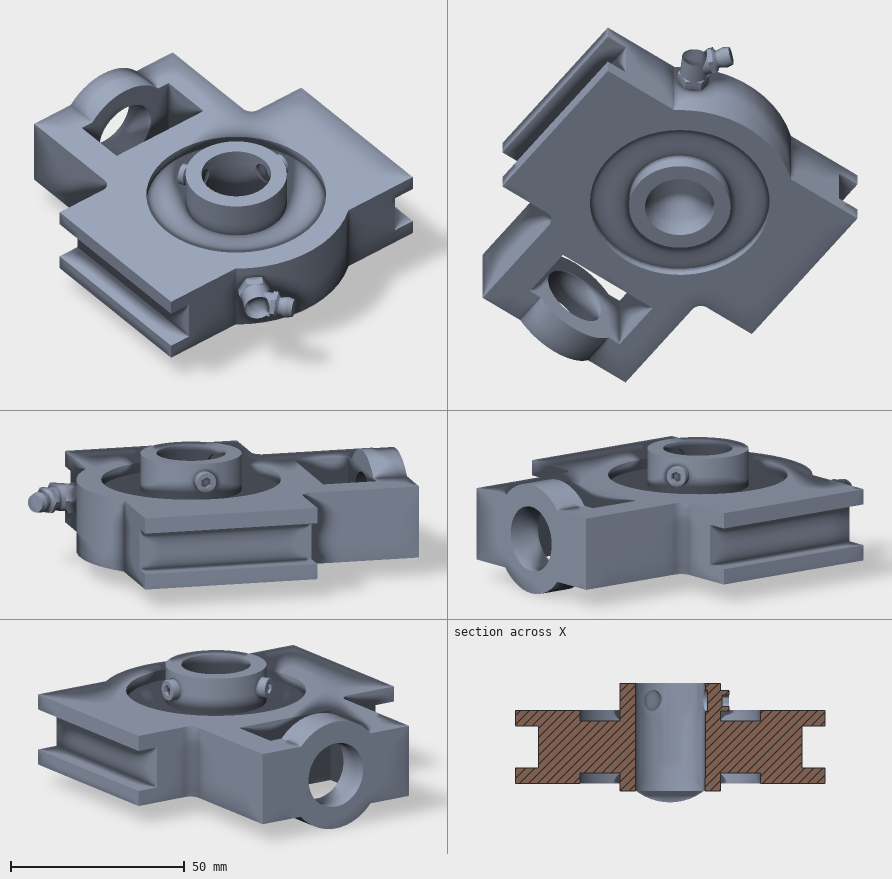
import cadquery as cq
import math


HEIGHT = 21.0
HALF_HEIGHT = HEIGHT / 2
NOSE_RADIUS = 33.0
WING_LENGTH = 51.2
WING_SPAN = 89.0
NECK_WIDTH = 51.0
NECK_END_X = -61.0
NECK_FILLET = 3.0
GUIDE_WIDTH = 12.0
GUIDE_DEPTH = 6.5

BOSS_DIAMETER = 32.0
BOSS_LENGTH = 10.0
BOSS_HOLE = 19.0
WINDOW_LENGTH = 16.0
WINDOW_WIDTH = 32.0

SEAT_DIAMETER = 51.7
INSERT_WIDTH = 15.0
SEAT_DEPTH = (HEIGHT - INSERT_WIDTH) / 2
RING_DIAMETER = 29.1
RING_TOP = 18.3
RING_BOTTOM = -12.7
BORE = 20.0

SCREW_DIAMETER = 6.0
SCREW_DROP = 5.0
SCREW_Z = RING_TOP - SCREW_DROP
SCREW_TIP_RADIUS = 10.6
SCREW_HEAD_RADIUS = 17.0
SCREW_CHAMFER = 0.15
SOCKET_FLATS = 2.8
SOCKET_DEPTH = 2.0
SOCKET_TURN = 30.0
SCREW_ANGLES = (90.0, 210.0)

NIPPLE_Z = 3.0
STEM_ANGLE = -30.0
STEM_DIAMETER = 8.0
SHANK_DIAMETER = 6.0
SHANK_START = 31.0
STEM_HEX_START = 33.0
STEM_HEX_END = 36.3
STEM_END = 42.0
BRANCH_TURN = 67.5
BRANCH_POSITION = 39.6
BRANCH_DIAMETER = 7.0
COLLAR_START = 4.55
COLLAR_END = 5.95
NECK_POSITION = 6.7
NECK_DIAMETER = 5.0
RIDGE_DIAMETER = 6.0
RIDGE_POSITION = 8.9
TIP_DIAMETER = 5.2
TIP_POSITION = 10.8

HEX_CHAMFER_ANGLE = 30.0


def rod(diameter, start, end):
    """Cylinder along +X between two X positions."""
    return cq.Workplane("YZ", origin=(start, 0, 0)).circle(diameter / 2).extrude(end - start)


def hexagon_corners(flats):
    """Width of a hexagon across its corners."""
    return flats / math.cos(math.pi / 6)


def hexagon(flats, start, end):
    """Hexagonal bar along +X with two flats facing up and down."""
    return cq.Workplane("YZ", origin=(start, 0, 0)).polygon(6, hexagon_corners(flats)).extrude(end - start)


def chamfered_hexagon(flats, start, end):
    """Hexagonal bar along +X whose corners are turned at both ends down to the flats."""
    reach = hexagon_corners(flats) / 2
    setback = (reach - flats / 2) * math.tan(math.radians(HEX_CHAMFER_ANGLE))
    envelope = (
        cq.Workplane("XY")
        .moveTo(start, 0)
        .lineTo(start, flats / 2)
        .lineTo(start + setback, reach)
        .lineTo(end - setback, reach)
        .lineTo(end, flats / 2)
        .lineTo(end, 0)
        .close()
        .revolve(360, (0, 0, 0), (1, 0, 0))
    )
    return hexagon(flats, start, end).intersect(envelope)


def make_housing():
    """Plate with two grooved wings, a neck on the -X side and a round nose on the +X side."""
    wings = cq.Workplane("XY").box(WING_LENGTH, WING_SPAN, HEIGHT)
    neck = cq.Workplane("XY").box(-NECK_END_X, NECK_WIDTH, HEIGHT).translate((NECK_END_X / 2, 0, 0))
    inside_corners = cq.selectors.BoxSelector(
        (-WING_LENGTH / 2 - NECK_FILLET, -NECK_WIDTH / 2 - NECK_FILLET, -HEIGHT),
        (-WING_LENGTH / 2 + NECK_FILLET, NECK_WIDTH / 2 + NECK_FILLET, HEIGHT),
    )
    plate = wings.union(neck).edges("|Z").edges(inside_corners).fillet(NECK_FILLET)
    nose = cq.Workplane("XY").circle(NOSE_RADIUS).extrude(HALF_HEIGHT, both=True)
    front_half = cq.Workplane("XY").box(NOSE_RADIUS, WING_SPAN, HEIGHT, centered=(False, True, True))
    nose = nose.intersect(front_half)
    plate = plate.union(nose)
    for side in (-1, 1):
        guide = cq.Workplane("XY").box(WING_LENGTH, 2 * GUIDE_DEPTH, GUIDE_WIDTH)
        plate = plate.cut(guide.translate((0, side * WING_SPAN / 2, 0)))
    return plate


def add_adjuster_boss(body):
    """Window for the adjusting nut and the round boss that carries the screw."""
    boss_end_x = NECK_END_X + BOSS_LENGTH
    window = cq.Workplane("XY").box(WINDOW_LENGTH, WINDOW_WIDTH, HEIGHT)
    body = body.cut(window.translate((boss_end_x + WINDOW_LENGTH / 2, 0, 0)))
    body = body.union(rod(BOSS_DIAMETER, NECK_END_X, boss_end_x))
    return body.cut(rod(BOSS_HOLE, NECK_END_X, boss_end_x))


def add_bearing(body):
    """Bearing insert recessed equally on both faces, with its longer inner ring and bore."""
    for bottom in (-HALF_HEIGHT, HALF_HEIGHT - SEAT_DEPTH):
        recess = cq.Workplane("XY", origin=(0, 0, bottom)).circle(SEAT_DIAMETER / 2).extrude(SEAT_DEPTH)
        body = body.cut(recess)
    ring_height = RING_TOP - RING_BOTTOM
    ring_base = cq.Workplane("XY", origin=(0, 0, RING_BOTTOM))
    body = body.union(ring_base.circle(RING_DIAMETER / 2).extrude(ring_height))
    return body.cut(ring_base.circle(BORE / 2).extrude(ring_height))


def add_set_screws(body):
    """Socket set screws in radial holes through the inner ring, clear of the bore."""
    screw = rod(SCREW_DIAMETER, SCREW_TIP_RADIUS, SCREW_HEAD_RADIUS).faces(">X").chamfer(SCREW_CHAMFER)
    socket = hexagon(SOCKET_FLATS, SCREW_HEAD_RADIUS - SOCKET_DEPTH, SCREW_HEAD_RADIUS)
    screw = screw.cut(socket.rotate((0, 0, 0), (1, 0, 0), SOCKET_TURN))
    tapped_hole = rod(SCREW_DIAMETER, 0, SCREW_HEAD_RADIUS)
    for angle in SCREW_ANGLES:
        seat = tapped_hole.rotate((0, 0, 0), (0, 0, 1), angle).translate((0, 0, SCREW_Z))
        body = body.cut(seat)
        placed_screw = screw.rotate((0, 0, 0), (0, 0, 1), angle).translate((0, 0, SCREW_Z))
        body = body.union(placed_screw)
    return body


def make_branch():
    """Branch along +X: round stub, hexagonal collar and double-tapered outlet."""
    outlet = (
        cq.Workplane("XY")
        .moveTo(COLLAR_END, 0)
        .lineTo(COLLAR_END, BRANCH_DIAMETER / 2)
        .lineTo(NECK_POSITION, NECK_DIAMETER / 2)
        .lineTo(RIDGE_POSITION, RIDGE_DIAMETER / 2)
        .lineTo(TIP_POSITION, TIP_DIAMETER / 2)
        .lineTo(TIP_POSITION, 0)
        .close()
        .revolve(360, (0, 0, 0), (1, 0, 0))
    )
    collar = hexagon(BRANCH_DIAMETER, COLLAR_START, COLLAR_END)
    return rod(BRANCH_DIAMETER, 0, COLLAR_START).union(collar).union(outlet)


def make_nipple():
    """Angled grease nipple set radially into the nose of the housing."""
    stem = rod(STEM_DIAMETER, STEM_HEX_END, STEM_END)
    stem = stem.union(rod(SHANK_DIAMETER, SHANK_START, STEM_HEX_START))
    stem = stem.union(cq.Workplane("XY").sphere(STEM_DIAMETER / 2).translate((STEM_END, 0, 0)))
    stem = stem.union(chamfered_hexagon(STEM_DIAMETER, STEM_HEX_START, STEM_HEX_END))
    branch = make_branch().rotate((0, 0, 0), (0, 0, 1), BRANCH_TURN).translate((BRANCH_POSITION, 0, 0))
    nipple = stem.union(branch)
    return nipple.rotate((0, 0, 0), (0, 0, 1), STEM_ANGLE).translate((0, 0, NIPPLE_Z))


housing = add_adjuster_boss(make_housing())
unit = add_set_screws(add_bearing(housing))
result = unit.union(make_nipple()).solids()